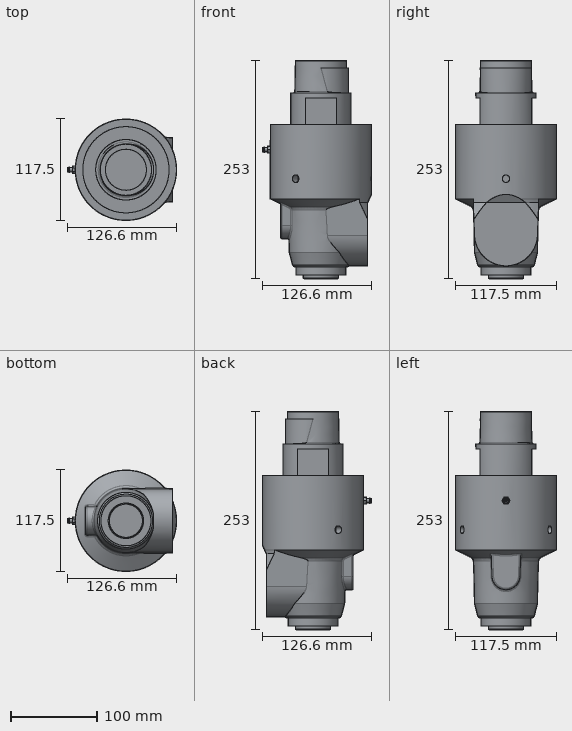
import cadquery as cq
import math

TOTAL_HEIGHT = 253.0
NOSE_TOP = 4.5
COLLAR_TOP = 14.0
TAIL_CHAMFER_TOP = 16.0
TAIL_KNEE = 30.5
DRUM_BOTTOM = 92.9
DRUM_TOP = 179.0
SHOULDER = 215.5

NOSE_RADIUS = 41.0 / 2
NOSE_CHAMFER = 1.3
COLLAR_RADIUS = 58.0 / 2
TAIL_BOTTOM_RADIUS = 30.9
TAIL_CHAMFER_RADIUS = 33.0
TAIL_KNEE_RADIUS = 36.7
TAIL_TOP_RADIUS = 38.0
TAIL_TOP = 82.7
TAIL_FILLET = 5.0
DRUM_RADIUS = 117.5 / 2
NECK_RADIUS = 70.0 / 2

RECESS_RADIUS = 100.0 / 2
RECESS_DEPTH = 4.3

FLAT_OFFSET = 30.0
FLAT_BOTTOM = 178.4
FLAT_TOP = 209.5

NIPPLE_TOP_RADIUS = 29.5
NIPPLE_BASE_RADIUS = 30.4
NIPPLE_FILLET = 1.8
BORE_DIAMETER = 47.5
BORE_DEPTH = 9.4
PAD_RADIUS = 29.9
PAD_SHIFT = 2.3
PAD_TOP = 244.5

WALL_DRAFT = math.radians(2.0)

BOSS_FACE_X = -46.5
BOSS_ARC_RADIUS = 16.2
BOSS_ARC_Z = 62.7
BOSS_FILLET = 1.8
BOSS_ROOT_FILLET = 2.0
BOSS_REACH = 20.2

PORT_FACE_X = 54.1
PORT_ARC_RADIUS = 36.5
PORT_ARC_Z = 51.5
PORT_BOTTOM = PORT_ARC_Z - PORT_ARC_RADIUS
PORT_SHOULDER_Z = 88.3
PORT_FLARE = 0.36
RELIEF_TOP = 98.0

SCREW_DIAMETER = 8.5
SCREW_DEPTH = 12.6
SCREW_Z = 116.1
SCREW_ANGLES = (0, 120, 240)
FITTING_Z = 149.8
FITTING_TIP_X = -67.8
FITTING_STEPS = ((5.3, 0.8), (2.3, 1.0), (6.5, 0.8), (5.3, 3.5))
TIP_HOLE_DIAMETER = 1.5
TIP_HOLE_DEPTH = 2.5
HEX_ACROSS_CORNERS = 9.0
HEX_LENGTH = 5.0


def edge_circle(radius, z):
    """Selector for the circular edge of a given radius at height z."""
    slack = 0.3
    reach = radius + slack
    return cq.selectors.BoxSelector(
        (-reach, -reach, z - slack), (reach, reach, z + slack), boundingbox=True
    )


def turned_body():
    """All the round stages from nose to nipple, revolved about Z."""
    profile = (
        cq.Workplane("XZ")
        .moveTo(0, 0)
        .lineTo(NOSE_RADIUS - NOSE_CHAMFER, 0)
        .lineTo(NOSE_RADIUS, NOSE_CHAMFER)
        .lineTo(NOSE_RADIUS, NOSE_TOP)
        .lineTo(COLLAR_RADIUS, NOSE_TOP)
        .lineTo(COLLAR_RADIUS, COLLAR_TOP)
        .lineTo(TAIL_BOTTOM_RADIUS, COLLAR_TOP)
        .lineTo(TAIL_CHAMFER_RADIUS, TAIL_CHAMFER_TOP)
        .lineTo(TAIL_KNEE_RADIUS, TAIL_KNEE)
        .lineTo(TAIL_TOP_RADIUS, TAIL_TOP)
        .lineTo(DRUM_RADIUS, DRUM_BOTTOM)
        .lineTo(DRUM_RADIUS, DRUM_TOP)
        .lineTo(RECESS_RADIUS, DRUM_TOP)
        .lineTo(RECESS_RADIUS, DRUM_TOP - RECESS_DEPTH)
        .lineTo(NECK_RADIUS, DRUM_TOP - RECESS_DEPTH)
        .lineTo(NECK_RADIUS, SHOULDER)
        .lineTo(NIPPLE_BASE_RADIUS, SHOULDER)
        .lineTo(NIPPLE_TOP_RADIUS, TOTAL_HEIGHT)
        .lineTo(0, TOTAL_HEIGHT)
        .close()
    )
    body = profile.revolve(360, (0, 0, 0), (0, 1, 0))
    body = body.edges(edge_circle(TAIL_TOP_RADIUS, TAIL_TOP)).fillet(TAIL_FILLET)
    return body.edges(edge_circle(NIPPLE_BASE_RADIUS, SHOULDER)).fillet(NIPPLE_FILLET)


def round_bottom_prism(arc_radius, arc_z, x_start, x_end):
    """U-shaped outline in YZ, with walls that flare upward, extruded along X up to the drum."""
    tangent_y = arc_radius * math.cos(WALL_DRAFT)
    tangent_z = arc_z - arc_radius * math.sin(WALL_DRAFT)
    top_y = tangent_y + (DRUM_BOTTOM - tangent_z) * math.tan(WALL_DRAFT)
    return (
        cq.Workplane("YZ", origin=(x_start, 0, 0))
        .moveTo(-top_y, DRUM_BOTTOM)
        .lineTo(-tangent_y, tangent_z)
        .threePointArc((0, arc_z - arc_radius), (tangent_y, tangent_z))
        .lineTo(top_y, DRUM_BOTTOM)
        .close()
        .extrude(x_end - x_start)
    )


def side_boss():
    """Boss with a rounded rim around its flat outer face."""
    boss = round_bottom_prism(BOSS_ARC_RADIUS, BOSS_ARC_Z, BOSS_FACE_X, 0)
    return boss.faces("<X").edges("not >Z").fillet(BOSS_FILLET)


def body_with_boss():
    """Turned body with the side boss, its root filleted where it meets the tail and the drum."""
    body = turned_body().union(side_boss())
    boss_region = cq.selectors.BoxSelector(
        (BOSS_FACE_X + BOSS_FILLET / 2, -BOSS_REACH, BOSS_ARC_Z - BOSS_REACH),
        (0, BOSS_REACH, DRUM_BOTTOM),
        boundingbox=True,
    )
    root_edges = body.edges(boss_region).edges("not %LINE").edges("not %CIRCLE")
    return root_edges.fillet(BOSS_ROOT_FILLET)


def port_block():
    """U-shaped block whose outer end is trimmed by a downward-flaring cone."""
    block = round_bottom_prism(PORT_ARC_RADIUS, PORT_ARC_Z, 0, DRUM_RADIUS)
    flare_radius = DRUM_RADIUS + PORT_FLARE * (PORT_SHOULDER_Z - PORT_BOTTOM)
    envelope = (
        cq.Workplane("XZ")
        .moveTo(0, PORT_BOTTOM)
        .lineTo(flare_radius, PORT_BOTTOM)
        .lineTo(DRUM_RADIUS, PORT_SHOULDER_Z)
        .lineTo(DRUM_RADIUS, DRUM_BOTTOM)
        .lineTo(0, DRUM_BOTTOM)
        .close()
        .revolve(360, (0, 0, 0), (0, 1, 0))
    )
    return block.intersect(envelope)


def port_relief():
    """Sloped cut that blends the drum wall into the port face."""
    outside = 2 * DRUM_RADIUS
    return (
        cq.Workplane("XZ")
        .moveTo(PORT_FACE_X, 0)
        .lineTo(PORT_FACE_X, PORT_SHOULDER_Z)
        .lineTo(DRUM_RADIUS, RELIEF_TOP)
        .lineTo(outside, RELIEF_TOP)
        .lineTo(outside, 0)
        .close()
        .extrude(DRUM_RADIUS, both=True)
    )


def wrench_flats():
    """Pair of cutters that leave a flat on each Y side of the neck."""
    depth = NECK_RADIUS - FLAT_OFFSET
    height = FLAT_TOP - FLAT_BOTTOM
    return (
        cq.Workplane("XY", origin=(0, 0, FLAT_BOTTOM))
        .pushPoints([(0, side * (FLAT_OFFSET + depth / 2)) for side in (-1, 1)])
        .rect(2 * NECK_RADIUS, depth)
        .extrude(height)
    )


def nipple_pad():
    """Offset cylinder that stands proud of the nipple on its +X half."""
    return (
        cq.Workplane("XY", origin=(PAD_SHIFT, 0, SHOULDER))
        .circle(PAD_RADIUS)
        .extrude(PAD_TOP - SHOULDER)
    )


def screw_holes():
    """Radial blind holes spaced evenly around the drum."""
    holes = cq.Workplane("XY")
    for angle in SCREW_ANGLES:
        hole = (
            cq.Workplane("YZ", origin=(DRUM_RADIUS - SCREW_DEPTH, 0, SCREW_Z))
            .circle(SCREW_DIAMETER / 2)
            .extrude(2 * SCREW_DEPTH)
            .rotate((0, 0, 0), (0, 0, 1), angle)
        )
        holes = holes.add(hole)
    return holes.combine()


def grease_fitting():
    """Stepped nipple on a hex base, lying along X."""
    x = FITTING_TIP_X
    fitting = cq.Workplane("XY")
    for diameter, length in FITTING_STEPS:
        step = cq.Workplane("YZ", origin=(x, 0, FITTING_Z)).circle(diameter / 2).extrude(length)
        fitting = fitting.union(step)
        x += length
    hex_base = cq.Workplane("YZ", origin=(x, 0, FITTING_Z)).polygon(6, HEX_ACROSS_CORNERS)
    fitting = fitting.union(hex_base.extrude(HEX_LENGTH))
    hole_start = cq.Workplane("YZ", origin=(FITTING_TIP_X, 0, FITTING_Z))
    return fitting.cut(hole_start.circle(TIP_HOLE_DIAMETER / 2).extrude(TIP_HOLE_DEPTH))


result = (
    body_with_boss()
    .union(port_block())
    .cut(port_relief())
    .cut(wrench_flats())
    .union(nipple_pad())
    .cut(screw_holes())
    .union(grease_fitting())
    .faces(">Z")
    .workplane(origin=(0, 0, TOTAL_HEIGHT))
    .hole(BORE_DIAMETER, BORE_DEPTH)
)